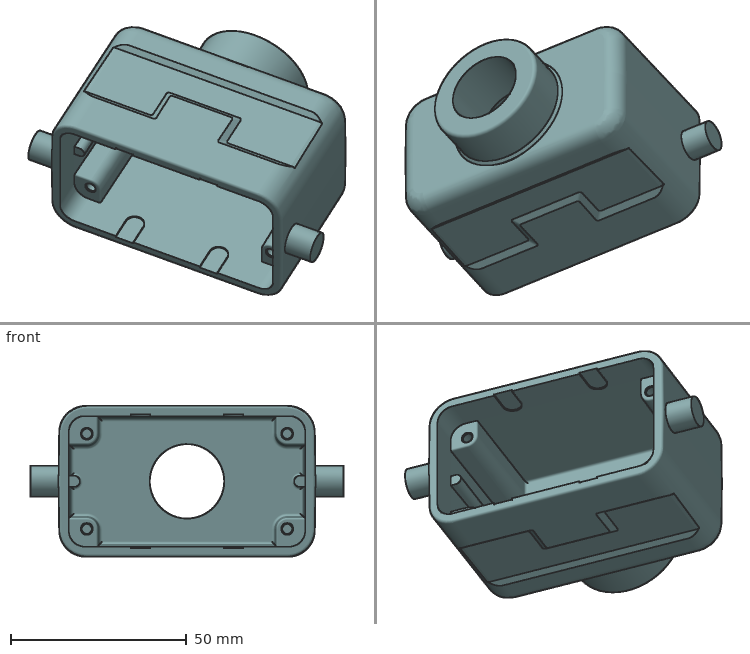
import cadquery as cq
import math


body_width = 73.1
body_edge_width = 72.5
body_depth = 44.95
front_height = 43.0
back_height = 42.2
corner_radius = 7.7
back_edge_radius = 4.5
rim_edge_radius = 0.8

total_depth = 58.0
collar_diameter = 34.1
collar_end_radius = 1.1
collar_root_flare = 0.9
bore_diameter = 21.1

pin_span = 89.0
pin_diameter = 8.9
pin_y = 6.2

cavity_width = 67.2
cavity_height = 37.1
cavity_corner_radius = 4.5
mouth_depth = 9.35
back_wall = 3.1
floor_y = body_depth - back_wall
chamber_inset = 0.7
floor_radius = 0.8
chamber_length = floor_y - mouth_depth
chamber_taper = math.degrees(math.atan2(chamber_inset, chamber_length))

screw_x = 28.5
screw_z = 13.5
boss_radius = 3.1
boss_edge_radius = 0.5
boss_growth = 0.5
boss_taper = math.degrees(math.atan2(boss_growth, chamber_length))
screw_hole_diameter = 2.85
screw_hole_depth = 10.7
screw_hole_chamfer = 0.3

rib_x = 32.0
rib_radius = 1.6

groove_x = 13.3
groove_width = 5.5
groove_depth = 0.45

recess_floor_z = 20.0
recess_front_y = 14.9
recess_back_y = 33.5
tab_width = 23.4
tab_back_y = 24.9
tab_corner_radius = 1.3
recess_slope = 55.0
cut_height = 2.7
recess_end_x = 32.0
recess_end_slope = 0.2
slope_run = cut_height * math.tan(math.radians(recess_slope))


def xz_plane(y):
    """Workplane at depth y whose extrusions run toward +Y; its local y is -Z."""
    return cq.Workplane(cq.Plane(origin=(0, y, 0), xDir=(1, 0, 0), normal=(0, 1, 0)))


def mirrored(solid):
    """The solid together with its mirror image below the mid-plane."""
    return solid.union(solid.mirror("XY"))


def make_housing():
    """Solid housing with crowned sides, drafted top and bottom, and rounded edges."""
    side_profile = [
        (0, -front_height / 2),
        (body_depth, -back_height / 2),
        (body_depth, back_height / 2),
        (0, front_height / 2),
    ]
    housing = cq.Workplane("YZ").polyline(side_profile).close().extrude(body_width / 2, both=True)
    crowned_outline = [
        (-body_width / 2, 0),
        (-body_edge_width / 2, front_height / 2),
        (body_edge_width / 2, front_height / 2),
        (body_width / 2, 0),
        (body_edge_width / 2, -front_height / 2),
        (-body_edge_width / 2, -front_height / 2),
    ]
    housing = housing.intersect(xz_plane(0).polyline(crowned_outline).close().extrude(body_depth))
    housing = housing.edges("not #Y").edges("not |Y").fillet(corner_radius)
    return housing.faces(">Y").edges().fillet(back_edge_radius)


def make_collar():
    """Round cable collar, started inside the back wall."""
    collar = xz_plane(floor_y).circle(collar_diameter / 2).extrude(total_depth - floor_y)
    return collar.faces(">Y").edges().fillet(collar_end_radius)


def make_collar_root():
    """Flared ring where the collar meets the back of the housing."""
    collar_radius = collar_diameter / 2
    profile = [
        (0, floor_y),
        (collar_radius + collar_root_flare, floor_y),
        (collar_radius + collar_root_flare, body_depth),
        (collar_radius, body_depth + collar_root_flare),
        (0, body_depth + collar_root_flare),
    ]
    return cq.Workplane("XY").polyline(profile).close().revolve(360, (0, 0), (0, 1))


def make_pins():
    """Both pins as one bar; the cavity removes its middle."""
    return cq.Workplane("YZ").center(pin_y, 0).circle(pin_diameter / 2).extrude(pin_span / 2, both=True)


def make_boss(side_x, side_z):
    """A rounded boss that thickens toward the floor and overlaps the cavity walls at its corner."""
    reach_x = cavity_width / 2 - screw_x + 2 * boss_radius
    reach_z = cavity_height / 2 - screw_z + 2 * boss_radius
    centre_x = screw_x - boss_radius + reach_x / 2
    centre_z = screw_z - boss_radius + reach_z / 2
    outline = cq.Sketch().rect(reach_x, reach_z).vertices().fillet(boss_radius)
    boss = (
        xz_plane(mouth_depth)
        .center(side_x * centre_x, side_z * centre_z)
        .placeSketch(outline)
        .extrude(chamber_length, taper=-boss_taper)
    )
    return boss.faces("<Y").edges().fillet(boss_edge_radius)


def make_cavity():
    """Mouth and tapered chamber, leaving the bosses and side ribs standing."""
    chamber = (
        xz_plane(mouth_depth)
        .rect(cavity_width, cavity_height)
        .extrude(chamber_length, taper=chamber_taper)
    )
    for side_x in (-1, 1):
        for side_z in (-1, 1):
            chamber = chamber.cut(make_boss(side_x, side_z))
        rib = (
            xz_plane(mouth_depth)
            .center(side_x * (rib_x + rib_radius), 0)
            .slot2D(4 * rib_radius, 2 * rib_radius)
            .extrude(chamber_length)
        )
        chamber = chamber.cut(rib)
    chamber = chamber.faces(">Y").edges().fillet(floor_radius)
    mouth = xz_plane(0).rect(cavity_width, cavity_height).extrude(mouth_depth)
    mouth = mouth.edges("|Y").fillet(cavity_corner_radius)
    return mouth.union(chamber)


def make_screw_holes():
    """Blind, lightly chamfered holes into the four boss faces."""
    mouth_radius = screw_hole_diameter / 2 + screw_hole_chamfer
    profile = [
        (0, mouth_depth),
        (mouth_radius, mouth_depth),
        (screw_hole_diameter / 2, mouth_depth + screw_hole_chamfer),
        (screw_hole_diameter / 2, mouth_depth + screw_hole_depth),
        (0, mouth_depth + screw_hole_depth),
    ]
    hole = cq.Workplane("XY").polyline(profile).close().revolve(360, (0, 0), (0, 1))
    holes = cq.Workplane("XY")
    for x in (-screw_x, screw_x):
        for z in (-screw_z, screw_z):
            holes = holes.add(hole.translate((x, 0, z)))
    return holes.combine()


def make_grooves():
    """Round-ended grooves running from the rim to the end of the mouth."""
    grooves = (
        cq.Workplane("XY")
        .pushPoints([(-groove_x, 0), (groove_x, 0)])
        .slot2D(2 * mouth_depth, groove_width, 90)
        .extrude(cavity_height / 2 + groove_depth)
    )
    return mirrored(grooves)


def make_recess():
    """Upper and lower latch recesses, each with a tab standing in its front edge."""
    profile = [
        (recess_front_y, recess_floor_z),
        (recess_back_y, recess_floor_z),
        (recess_back_y + slope_run, recess_floor_z + cut_height),
        (recess_front_y - slope_run, recess_floor_z + cut_height),
    ]
    recess = cq.Workplane("YZ").polyline(profile).close().extrude(body_width / 2, both=True)
    tab = (
        cq.Workplane("XY", origin=(0, tab_back_y / 2, recess_floor_z))
        .rect(tab_width, tab_back_y)
        .extrude(cut_height, taper=recess_slope)
    )
    recess = recess.cut(tab)
    around_tab = cq.selectors.BoxSelector(
        (-tab_width, recess_front_y - slope_run, recess_floor_z),
        (tab_width, tab_back_y, recess_floor_z + cut_height),
    )
    tab_corners = recess.edges(around_tab).edges("not (|X or |Y or #X or #Y)")
    recess = tab_corners.fillet(tab_corner_radius)
    end_length = body_width / 2 - recess_end_x
    end = (
        xz_plane(recess_front_y)
        .moveTo(recess_end_x, -recess_floor_z)
        .line(end_length, 0)
        .line(0, recess_end_slope * end_length)
        .close()
        .extrude(recess_back_y - recess_front_y)
    )
    return mirrored(recess.union(end).union(end.mirror("YZ")))


bore = xz_plane(0).circle(bore_diameter / 2).extrude(total_depth)

result = make_housing().union(make_collar()).union(make_collar_root())
result = result.cut(make_recess())
result = result.faces("<Y").edges().fillet(rim_edge_radius)
result = result.union(make_pins())
result = result.cut(make_cavity()).cut(make_grooves()).cut(make_screw_holes()).cut(bore)